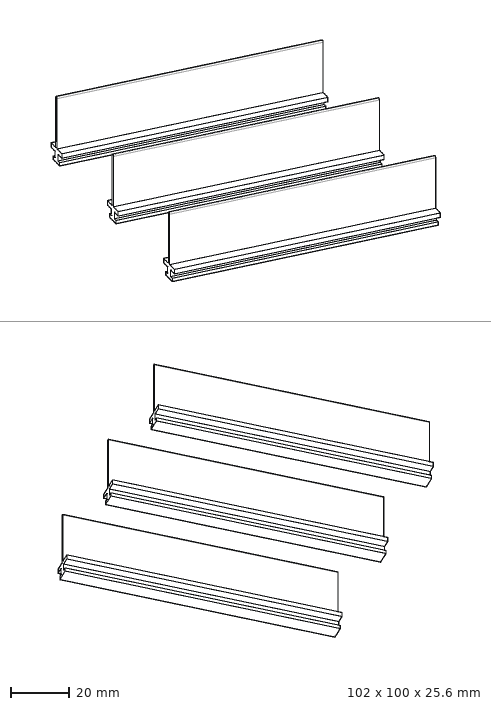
import cadquery as cq

overall_width = 102.0
rail_count = 3
rail_length = 100.0
rail_height = 25.6

foot_width = 5.4
neck_width = 2.7
flange_width = 9.0
blade_thickness = 1.2
tip_radius = 0.5

foot_height = 1.3
neck_height = 2.5
flange_height = 1.7
blade_height = rail_height - foot_height - neck_height - flange_height

rail_pitch = (overall_width - flange_width) / (rail_count - 1)


def make_rail(center_x):
    """One extruded rail: foot, neck, flange and round-tipped blade stacked along Z."""
    layers = [
        (foot_width, foot_height),
        (neck_width, neck_height),
        (flange_width, flange_height),
        (blade_thickness, blade_height),
    ]
    right_side = []
    level = 0.0
    for width, height in layers:
        right_side.append((width / 2, level))
        level += height
        right_side.append((width / 2, level))
    left_side = [(-x, z) for x, z in reversed(right_side)]

    return (
        cq.Workplane("XZ")
        .polyline(right_side + left_side)
        .close()
        .extrude(rail_length / 2, both=True)
        .faces(">Z")
        .edges("|Y")
        .fillet(tip_radius)
        .translate((center_x, 0, 0))
    )


rails = []
for index in range(rail_count):
    rail_x = (index - (rail_count - 1) / 2) * rail_pitch
    rails.append(make_rail(rail_x))

result = cq.Compound.makeCompound([rail.val() for rail in rails])